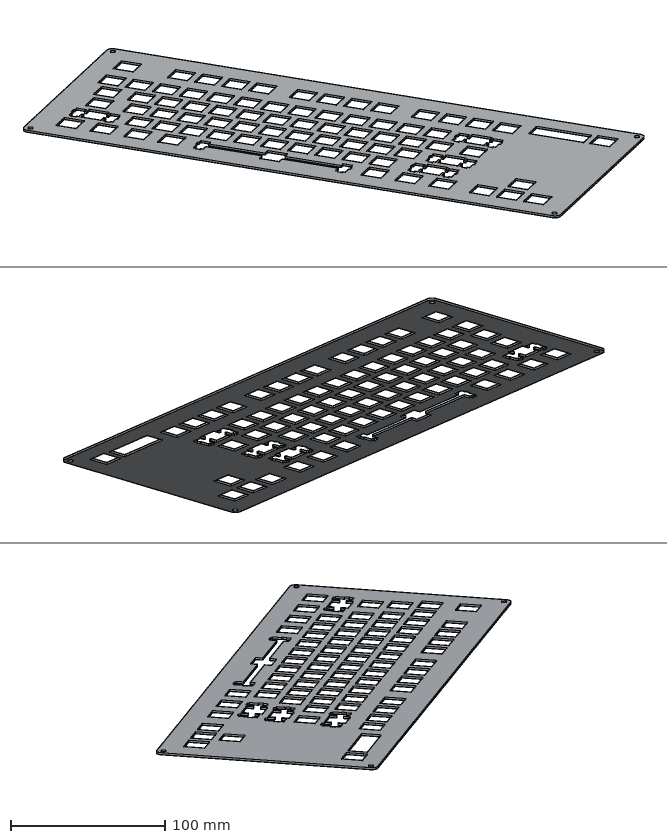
import cadquery as cq

PLATE_LENGTH = 377.4
PLATE_WIDTH = 147.4
PLATE_THICKNESS = 1.5
CORNER_RADIUS = 4.0

SCREW_HOLE_DIAMETER = 3.4
SCREW_HOLE_INSET = 4.5

KEY_UNIT = 19.05
SWITCH_SIZE = 14.0
GRID_LEFT = -165.98
BOTTOM_ROW_Y = -51.78
FUNCTION_ROW_GAP = 25.4
ARROW_COLUMN_X = 145.97

SPACE_ROW_Y = BOTTOM_ROW_Y
SHIFT_ROW_Y = SPACE_ROW_Y + KEY_UNIT
CAPS_ROW_Y = SHIFT_ROW_Y + KEY_UNIT
TAB_ROW_Y = CAPS_ROW_Y + KEY_UNIT
NUMBER_ROW_Y = TAB_ROW_Y + KEY_UNIT
FUNCTION_ROW_Y = NUMBER_ROW_Y + FUNCTION_ROW_GAP

KEY_ROWS = [
    (
        FUNCTION_ROW_Y,
        [("key", 1), ("gap", 1)]
        + [("key", 1)] * 4 + [("gap", 0.5)]
        + [("key", 1)] * 4 + [("gap", 0.5)]
        + [("key", 1)] * 4,
    ),
    (NUMBER_ROW_Y, [("key", 1)] * 13 + [("wide", 2)]),
    (TAB_ROW_Y, [("key", 1.5)] + [("key", 1)] * 12 + [("key", 1.5)]),
    (CAPS_ROW_Y, [("key", 1.75)] + [("key", 1)] * 11 + [("wide", 2.25)]),
    (SHIFT_ROW_Y, [("wide", 2.25)] + [("key", 1)] * 10 + [("wide", 2.75)]),
    (SPACE_ROW_Y, [("key", 1.25)] * 4 + [("wide", 6.25)] + [("key", 1.25)] * 3),
]

SPACE_BAR_MIN_UNITS = 6
STABILIZER_OFFSET = 11.9
SPACE_BAR_STABILIZER_OFFSET = 50.0
STABILIZER_WIDTH = 6.75
STABILIZER_TOP = 5.53
STABILIZER_BOTTOM = -6.77
FOOT_WIDTH = 3.3
FOOT_BOTTOM = -7.97
NOTCH_REACH = 4.2
NOTCH_TOP = 2.3
NOTCH_BOTTOM = -0.8
WIRE_SLOT_HEIGHT = 4.6

DISPLAY_LENGTH = 38.6
DISPLAY_HEIGHT = 13.0
DISPLAY_CENTER = (136.8, 53.4)
ENCODER_SIZE = 14.0
ENCODER_CENTER = (167.3, 54.0)

CUT_HEIGHT = 2 * PLATE_THICKNESS


def box_cutter(left, right, bottom, top):
    """Rectangular tool that reaches through the whole plate."""
    return (
        cq.Workplane("XY")
        .center((left + right) / 2, (bottom + top) / 2)
        .rect(right - left, top - bottom)
        .extrude(CUT_HEIGHT, both=True)
    )


def centered_cutter(center, length, height):
    x, y = center
    return box_cutter(x - length / 2, x + length / 2, y - height / 2, y + height / 2)


def stabilizer_cutter(x, y, offset):
    """Wire slot and two stabilizer openings on either side of a switch."""
    cutter = centered_cutter((x, y), 2 * offset, WIRE_SLOT_HEIGHT)
    for side in (-1, 1):
        middle = x + side * offset
        housing = box_cutter(
            middle - STABILIZER_WIDTH / 2,
            middle + STABILIZER_WIDTH / 2,
            y + STABILIZER_BOTTOM,
            y + STABILIZER_TOP,
        )
        foot = box_cutter(middle - FOOT_WIDTH / 2, middle + FOOT_WIDTH / 2, y + FOOT_BOTTOM, y)
        notch_end = middle + side * NOTCH_REACH
        notch = box_cutter(
            min(middle, notch_end),
            max(middle, notch_end),
            y + NOTCH_BOTTOM,
            y + NOTCH_TOP,
        )
        cutter = cutter.union(housing).union(foot).union(notch)
    return cutter


def make_plate():
    return (
        cq.Workplane("XY")
        .box(PLATE_LENGTH, PLATE_WIDTH, PLATE_THICKNESS)
        .edges("|Z")
        .fillet(CORNER_RADIUS)
        .faces(">Z")
        .workplane()
        .rect(
            PLATE_LENGTH - 2 * SCREW_HOLE_INSET,
            PLATE_WIDTH - 2 * SCREW_HOLE_INSET,
            forConstruction=True,
        )
        .vertices()
        .hole(SCREW_HOLE_DIAMETER)
    )


def place_keys():
    """Centres of all switches, and the (x, y, offset) of all stabilizers."""
    switches = []
    stabilizers = []
    for row_y, keys in KEY_ROWS:
        left_edge = GRID_LEFT - KEY_UNIT / 2
        for kind, units in keys:
            x = left_edge + units * KEY_UNIT / 2
            left_edge += units * KEY_UNIT
            if kind == "gap":
                continue
            switches.append((x, row_y))
            if kind == "wide":
                is_space_bar = units >= SPACE_BAR_MIN_UNITS
                offset = SPACE_BAR_STABILIZER_OFFSET if is_space_bar else STABILIZER_OFFSET
                stabilizers.append((x, row_y, offset))
    for column in (-1, 0, 1):
        switches.append((ARROW_COLUMN_X + column * KEY_UNIT, SPACE_ROW_Y))
    switches.append((ARROW_COLUMN_X, SHIFT_ROW_Y))
    return switches, stabilizers


switch_centers, stabilizer_places = place_keys()

switch_cutter = (
    cq.Workplane("XY")
    .pushPoints(switch_centers)
    .rect(SWITCH_SIZE, SWITCH_SIZE)
    .extrude(CUT_HEIGHT, both=True)
)

result = make_plate().cut(switch_cutter)
for place in stabilizer_places:
    result = result.cut(stabilizer_cutter(*place))
result = result.cut(centered_cutter(DISPLAY_CENTER, DISPLAY_LENGTH, DISPLAY_HEIGHT))
result = result.cut(centered_cutter(ENCODER_CENTER, ENCODER_SIZE, ENCODER_SIZE))